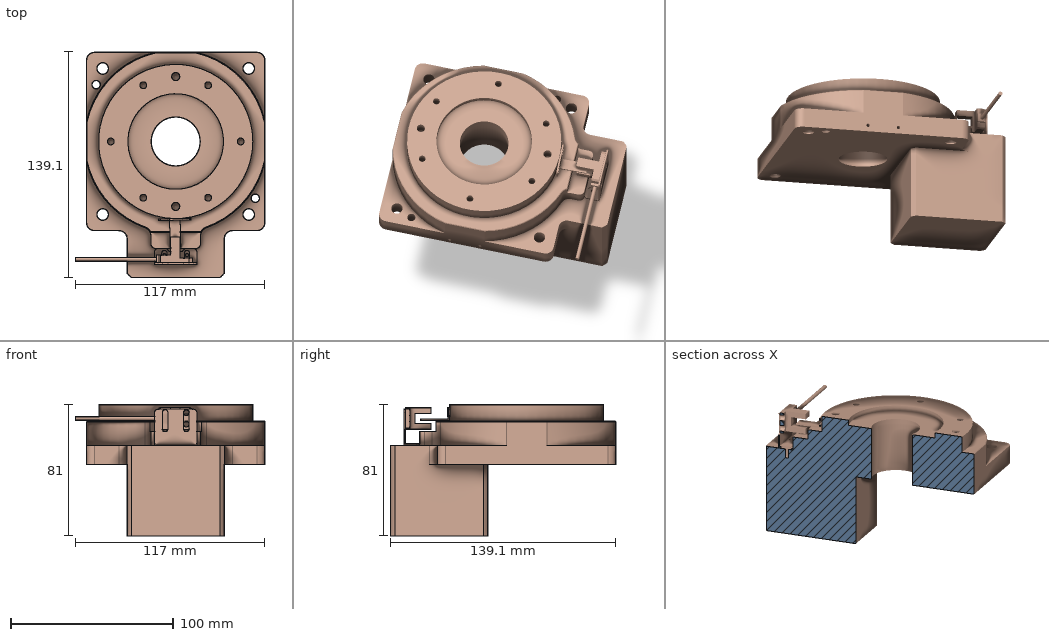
import cadquery as cq
import math


plate_side = 110.1
plate_thickness = 12.0
plate_corner_radius = 5.0
motor_side = 60.0
motor_front = 84.0
motor_height = 56.0
motor_chamfer = 2.6
mount_hole_offset = 45.0
mount_hole_diameter = 7
dowel_offset_x = 49.0
dowel_offset_y = 35.0
dowel_diameter = 5.0
side_hole_offset = 9.6
side_hole_height = 3.9
side_hole_diameter = 2.1
side_hole_depth = 5.5

gear_radius = 56.5
gear_top = 26.8
gear_chamfer = 0.4
pad_width = 30.6
pad_step = 56.0
pad_front = 66.0
pad_top = 20.6
pad_corner_radius = 3.0
pad_root_radius = 5.5

table_radius = 47.5
table_top = 37.0
recess_radius = 29.5
recess_depth = 3.3
bore_radius = 15.0
bolt_circle_radius = 40.0
bolt_count = 6
bolt_hole_diameter = 4.2
pin_hole_diameter = 5.0
table_hole_depth = 8.3
drill_tip_angle = 118

sheet = 1.0

flag_turn = 1.5
flag_shift = -1.8
flag_width = 20.2
flag_top = 35.3
flag_wall_bottom = 29.6
flag_blade_bottom = 27.2
flag_blade_width = 6.5
flag_blade_tip = 65.2
flag_corner_chamfer = 0.8
flag_slot_offset = 6.1
flag_slot_length = 5.5
flag_slot_height = 2.5

bracket_width = 26.0
bracket_front = 75.8
bracket_top = 34.2
bracket_corner_radius = 2.0
bracket_bend_radius = 0.4
bracket_slot_width = 3.3
wall_slot_offset = 6.5
wall_slot_bottom = 20.5
wall_slot_top = 33.9
foot_slot_offset = 7
foot_slot_back = 67.1
foot_slot_front = 74.0
foot_notch_depth = 1.8
foot_notch_mouth = 11.1
foot_notch_floor = 8.0
bracket_screw_y = 70.0
bracket_screw_diameter = 2.0
bracket_screw_depth = 5.5

sensor_middle = 28.5
sensor_height = 13.3
sensor_left = 10.4
sensor_right = 10.3
sensor_back = 70.0
ear_back = 72.0
sensor_chamfer_x = 1.1
sensor_chamfer_z = 0.8
arm_left = 3.2
arm_right = 2.8
arm_tip = 59.0
fork_gap = 6.1
fork_bottom = 68.8
ear_chamfer_x = 2.0
ear_hole_pitch = 7
ear_hole_diameter = 3.5
cable_boss_end = 12.0
cable_boss_height = 5.1
cable_diameter = 2.4
cable_end = 61.9
cable_y = 72.7


def box(x_min, x_max, y_min, y_max, z_min, z_max):
    """Box between the given limits."""
    size = (x_max - x_min, y_max - y_min, z_max - z_min)
    return cq.Workplane("XY").box(*size, centered=False).translate((x_min, y_min, z_min))


def drilled_hole(diameter, depth):
    """Cutter for a drilled hole with a conical end, going down from the origin."""
    radius = diameter / 2
    tip = radius / math.tan(math.radians(drill_tip_angle / 2))
    profile = [(0, 0), (radius, 0), (radius, -depth), (0, -depth - tip)]
    return cq.Workplane("XZ").polyline(profile).close().revolve(360, (0, 0), (0, 1))


def make_base():
    """Square plate with the motor block that hangs below its front edge."""
    half = plate_side / 2
    motor_center_y = motor_side / 2 - motor_front
    plate = cq.Workplane("XY").rect(plate_side, plate_side).extrude(plate_thickness)
    plate = plate.edges("|Z").fillet(plate_corner_radius)
    motor = (
        cq.Workplane("XY", origin=(0, motor_center_y, plate_thickness))
        .rect(motor_side, motor_side)
        .extrude(-motor_height)
        .edges("|Z")
        .chamfer(motor_chamfer)
    )
    base = plate.union(motor)
    for side in (-1, 1):
        root = cq.selectors.NearestToPointSelector((side * motor_side / 2, -half, plate_thickness / 2))
        base = base.edges(root).fillet(plate_corner_radius)
    return base


def make_gear_housing():
    """Disc trimmed to the plate sides, with a lower pad in front of it."""
    half = plate_side / 2
    half_pad = pad_width / 2
    disc = cq.Workplane("XY").circle(gear_radius).extrude(gear_top)
    pad = box(-half_pad, half_pad, -pad_front, 0, 0, gear_top)
    pad = pad.edges("|Z and <Y").fillet(pad_corner_radius)
    root_y = -math.sqrt(gear_radius**2 - half_pad**2)
    housing = disc.union(pad)
    for side in (-1, 1):
        root = cq.selectors.NearestToPointSelector((side * half_pad, root_y, gear_top / 2))
        housing = housing.edges(root).fillet(pad_root_radius)
    housing = housing.intersect(box(-half, half, -pad_front, half, 0, gear_top))
    housing = housing.cut(box(-half, half, -pad_front, -pad_step, pad_top, gear_top))
    return housing.faces(">Z").chamfer(gear_chamfer)


def make_actuator():
    """Plate, motor, gear housing and table in one body, with all their holes."""
    table = cq.Workplane("XY").circle(table_radius).extrude(table_top)
    body = make_base().union(make_gear_housing()).union(table)

    body = body.cut(cq.Workplane("XY").circle(bore_radius).extrude(table_top))
    body = body.cut(cq.Workplane("XY", origin=(0, 0, table_top)).circle(recess_radius).extrude(-recess_depth))

    bolt_hole = drilled_hole(bolt_hole_diameter, table_hole_depth)
    pin_hole = drilled_hole(pin_hole_diameter, table_hole_depth)
    for index in range(bolt_count):
        angle = index * 360 / bolt_count
        place = (bolt_circle_radius, 0, table_top)
        body = body.cut(bolt_hole.translate(place).rotate((0, 0, 0), (0, 0, 1), angle))
    for side in (-1, 1):
        body = body.cut(pin_hole.translate((0, side * bolt_circle_radius, table_top)))

    mount_span = 2 * mount_hole_offset
    mount_holes = cq.Workplane("XY").rect(mount_span, mount_span, forConstruction=True).vertices()
    body = body.cut(mount_holes.circle(mount_hole_diameter / 2).extrude(plate_thickness))
    dowel_places = [(-dowel_offset_x, dowel_offset_y), (dowel_offset_x, -dowel_offset_y)]
    dowel_holes = cq.Workplane("XY").pushPoints(dowel_places)
    body = body.cut(dowel_holes.circle(dowel_diameter / 2).extrude(plate_thickness))

    side_hole = drilled_hole(side_hole_diameter, side_hole_depth).rotate((0, 0, 0), (0, 1, 0), -90)
    screw_hole = drilled_hole(bracket_screw_diameter, bracket_screw_depth)
    for side in (-1, 1):
        side_place = (-plate_side / 2, side * side_hole_offset, side_hole_height)
        body = body.cut(side_hole.translate(side_place))
        screw_place = (side * foot_slot_offset, -bracket_screw_y, plate_thickness)
        body = body.cut(screw_hole.translate(screw_place))
    return body


def make_flag():
    """Slotted plate tangent to the table, with a blade bent out into the sensor fork."""
    wall_back = -table_radius
    wall_front = wall_back - sheet
    half = flag_width / 2
    half_blade = flag_blade_width / 2
    wall = box(-half, half, wall_front, wall_back, flag_wall_bottom, flag_top)
    wall = wall.edges("|Y").chamfer(flag_corner_chamfer)
    slot_height = (flag_top + flag_wall_bottom) / 2
    slots = (
        cq.Workplane("XZ", origin=(0, wall_back, slot_height))
        .pushPoints([(-flag_slot_offset, 0), (flag_slot_offset, 0)])
        .slot2D(flag_slot_length, flag_slot_height)
        .extrude(sheet)
    )
    neck = box(-half_blade, half_blade, wall_front, wall_back, flag_blade_bottom, flag_top)
    blade_top = flag_blade_bottom + sheet
    blade = box(-half_blade, half_blade, -flag_blade_tip, wall_back, flag_blade_bottom, blade_top)
    flag = wall.cut(slots).union(neck).union(blade)
    return flag.translate((flag_shift, 0, 0)).rotate((0, 0, 0), (0, 0, 1), flag_turn)


def make_bracket():
    """L-shaped sheet: a slotted foot on the motor block and a slotted upright wall."""
    half = bracket_width / 2
    wall = box(-half, half, -bracket_front, sheet - bracket_front, plate_thickness, bracket_top)
    wall = wall.edges("|Y and >Z").fillet(bracket_corner_radius)
    slot_length = wall_slot_top - wall_slot_bottom
    wall_slots = (
        cq.Workplane("XZ", origin=(0, sheet - bracket_front, (wall_slot_top + wall_slot_bottom) / 2))
        .pushPoints([(-wall_slot_offset, 0), (wall_slot_offset, 0)])
        .slot2D(slot_length, bracket_slot_width, 90)
        .extrude(sheet)
    )

    foot = box(-half, half, -bracket_front, -pad_front, plate_thickness, plate_thickness + sheet)
    foot = foot.edges("|Z and >Y").fillet(bracket_corner_radius)
    foot_slots = (
        cq.Workplane("XY", origin=(0, -(foot_slot_back + foot_slot_front) / 2, plate_thickness))
        .pushPoints([(-foot_slot_offset, 0), (foot_slot_offset, 0)])
        .slot2D(foot_slot_front - foot_slot_back, bracket_slot_width, 90)
        .extrude(sheet)
    )
    notch_floor_y = -pad_front - foot_notch_depth
    notch = (
        cq.Workplane("XY", origin=(0, 0, plate_thickness))
        .moveTo(-foot_notch_mouth / 2, -pad_front)
        .lineTo(-foot_notch_floor / 2, notch_floor_y)
        .lineTo(foot_notch_floor / 2, notch_floor_y)
        .lineTo(foot_notch_mouth / 2, -pad_front)
        .close()
        .extrude(sheet)
    )
    bracket = wall.cut(wall_slots).union(foot.cut(foot_slots).cut(notch))
    return bracket.edges("|X and <Y and <Z").fillet(bracket_bend_radius)


def make_sensor():
    """Fork sensor held against the bracket wall, with its cable running to -X."""
    front = sheet - bracket_front
    bottom = sensor_middle - sensor_height / 2
    top = sensor_middle + sensor_height / 2

    fork = box(-arm_left, arm_right, -sensor_back, -arm_tip, bottom, top)
    gap_bottom = sensor_middle - fork_gap / 2
    gap = box(-arm_left, arm_right, -fork_bottom, -arm_tip, gap_bottom, gap_bottom + fork_gap)

    deep_half = (
        box(-sensor_left, arm_right, front, -sensor_back, bottom, top)
        .edges("|Y and <X")
        .chamfer(sensor_chamfer_z, sensor_chamfer_x)
    )

    ear = (
        box(arm_right, sensor_right, front, -ear_back, bottom, top)
        .edges("|Y and >X")
        .chamfer(sensor_chamfer_z, ear_chamfer_x)
    )
    ear_holes = (
        cq.Workplane("XZ", origin=(wall_slot_offset, -ear_back, sensor_middle))
        .pushPoints([(0, -ear_hole_pitch / 2), (0, ear_hole_pitch / 2)])
        .circle(ear_hole_diameter / 2)
        .extrude(-front - ear_back)
    )

    boss_bottom = sensor_middle - cable_boss_height / 2
    boss_top = boss_bottom + cable_boss_height
    boss = box(-cable_boss_end, -sensor_left, front, -sensor_back, boss_bottom, boss_top)
    cable = (
        cq.Workplane("YZ", origin=(-cable_end, -cable_y, sensor_middle))
        .circle(cable_diameter / 2)
        .extrude(cable_end - cable_boss_end)
    )
    return fork.cut(gap).union(deep_half).union(ear.cut(ear_holes)).union(boss).union(cable)


actuator = make_actuator()
flag = make_flag()
bracket = make_bracket()
sensor = make_sensor()

result = cq.Compound.makeCompound([body.solids().val() for body in (actuator, flag, bracket, sensor)])